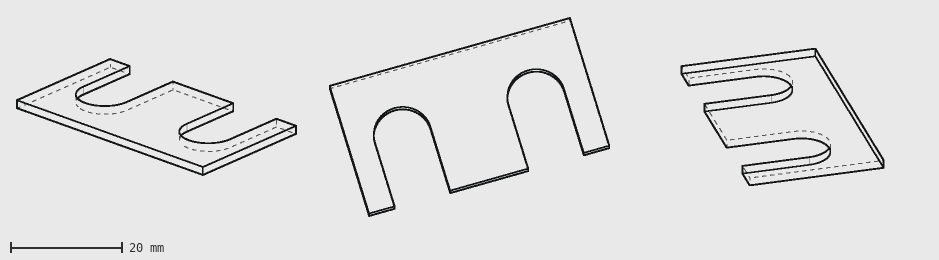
import cadquery as cq

length = 45.0
depth = 25.0
thickness = 1.58

slot_width = 10.4
slot_spacing = 25.0
slot_radius = slot_width / 2
slot_center_y = 0.0


def slot_cutter(center_x):
    """Straight-sided slot with a semicircular floor, reaching the +Y edge."""
    left = center_x - slot_radius
    right = center_x + slot_radius
    return (
        cq.Workplane("XY")
        .moveTo(left, depth / 2)
        .lineTo(left, slot_center_y)
        .threePointArc((center_x, slot_center_y - slot_radius), (right, slot_center_y))
        .lineTo(right, depth / 2)
        .close()
        .extrude(thickness)
    )


result = cq.Workplane("XY").box(length, depth, thickness, centered=(True, True, False))
for side in (-1, 1):
    result = result.cut(slot_cutter(side * slot_spacing / 2))